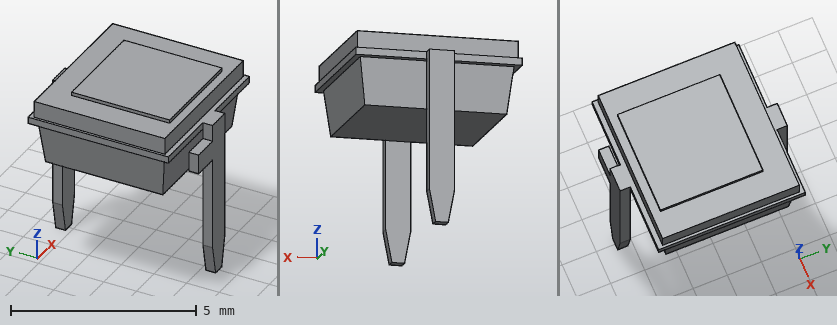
import cadquery as cq

total_height = 5.4
window_height = 0.1
cap_height = 0.5
flange_height = 0.2
base_height = 1.3

flange_size = (4.65, 4.3)
cap_size = (4.5, 4.0)
window_side = 3.0
window_offset_y = -0.25
base_top_size = (4.3, 3.87)
base_bottom_size = (3.97, 3.59)

overall_depth = 4.9
lead_width = 0.7
lead_tip_width = 0.355
lead_taper_height = 0.9
tab_length = 0.8
tab_height = 0.6
tab_drop = 0.5

cap_top = total_height - window_height
flange_top = cap_top - cap_height
flange_bottom = flange_top - flange_height
base_bottom = flange_bottom - base_height
lead_thickness = (overall_depth - flange_size[1]) / 2


def slab(size, bottom, height, center_y=0):
    """Rectangular plate standing on the given height."""
    return cq.Workplane("XY", origin=(0, center_y, bottom)).rect(*size).extrude(height)


def tapered_base():
    """Lower body, narrowing downward from the flange."""
    return (
        cq.Workplane("XY", origin=(0, 0, base_bottom))
        .rect(*base_bottom_size)
        .workplane(offset=base_height)
        .rect(*base_top_size)
        .loft(ruled=True)
    )


def lead(outer_y):
    """Flat pin with a tapered tip, extruded toward +Y from outer_y."""
    outline = [
        (-lead_tip_width / 2, 0),
        (lead_tip_width / 2, 0),
        (lead_width / 2, lead_taper_height),
        (lead_width / 2, flange_top),
        (-lead_width / 2, flange_top),
        (-lead_width / 2, lead_taper_height),
    ]
    return (
        cq.Workplane("XZ", origin=(0, outer_y, 0))
        .polyline(outline)
        .close()
        .extrude(-lead_thickness)
    )


def side_tab():
    """Marker tab reaching toward -X from the front lead."""
    return cq.Workplane("XY").box(tab_length, lead_thickness, tab_height, centered=False).translate(
        (-lead_width / 2 - tab_length, -overall_depth / 2, flange_top - tab_drop - tab_height)
    )


body = (
    tapered_base()
    .union(slab(flange_size, flange_bottom, flange_height))
    .union(slab(cap_size, flange_top, cap_height))
    .union(slab((window_side, window_side), cap_top, window_height, window_offset_y))
)

result = (
    body
    .union(lead(-overall_depth / 2))
    .union(lead(flange_size[1] / 2))
    .union(side_tab())
)